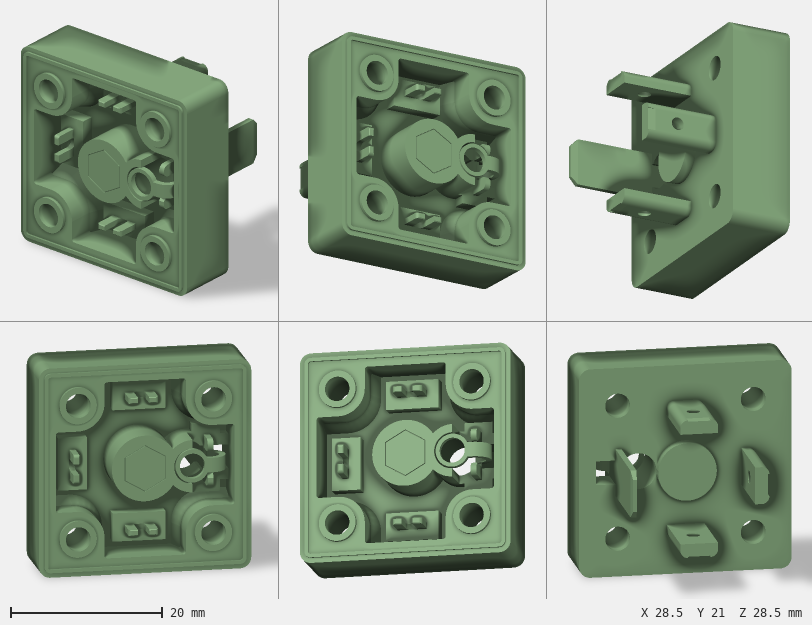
import cadquery as cq
import math


SIDE = 28.5
CORNER_RADIUS = 1.5
HOUSING_DEPTH = 8.5
LIP_INSET = 0.68
LIP_WIDTH = 0.48
LIP_HEIGHT = 0.3
BACK_BOSS_DIAMETER = 7.87
BACK_BOSS_HEIGHT = 1.5

SCREW_PITCH = 18.18
SCREW_HOLE_DIAMETER = 3.3
COLLAR_DIAMETER = 5.0
COLLAR_HEIGHT = 0.5

CAVITY_SIZE = 24.0
FLOOR_DEPTH = 2.5
POST_RADIUS = 3.62
FLARE_DEPTH = 4.87
FLARE_WIDTH = 0.83
CAVITY_CORNER_RADIUS = 0.37

COLUMN_DIAMETER = 8.95
HEX_ACROSS_FLATS = 5.5
HEX_GROOVE_WIDTH = 0.1
HEX_HALF_CORNER_ANGLE = 30
HEX_GROOVE_DEPTH = 0.28

PLATFORM_DEPTH = 4.3
PLATFORM_LENGTH = 7.12
PLATFORM_WIDTH = 3.85
PLATFORM_OFFSET = 8.95

RING_X = 6.35
RING_POST_RADIUS = 3.55
RING_WELL_DIAMETER = 4.9
EARTH_SEAT_LEFT = 7.05
EARTH_SEAT_HEIGHT = 9.3
SEAT_NOTCH_WIDTH = 1.15
SEAT_NOTCH_HEIGHT = 1.57
RIBBON_SLOT_HEIGHT = 3.25

CONTACT_OFFSET = 9.0
BLADE_THICKNESS = 0.8
PRONG_TIP_DEPTH = 7.5

PIN_ANGLES = (0, 90, 180)
PIN_LENGTH = 10.0
PIN_WIDTH = 5.05
PIN_THICKNESS = 1.9
PIN_EDGE_RADIUS = 1.0
PIN_LEAD_LENGTH = 1.0
PIN_LEAD_DROP = 0.17
PIN_HOLE_DIAMETER = 1.77
PIN_HOLE_FROM_TIP = 4.33
PIN_BLADE_WIDTH = 4.0
PIN_FORK_GAP = 1.48
PIN_FORK_DEPTH = 3.48
PIN_FORK_ARC_RISE = 0.63
PRONG_CORNER_RADIUS = 0.45
PRONG_TIP_BEVEL = 0.1

EARTH_LENGTH = 12.0
EARTH_WIDTH = 6.4
EARTH_TIP_CHAMFER = 1.0
EARTH_TIP_THINNING = 0.15
EARTH_FORK_GAP = 2.95
EARTH_FORK_BOTTOM = 4.55
EARTH_PRONG_RADIUS = 0.7
EARTH_PRONG_CHAMFER = 0.5
RING_DIAMETER = 4.5
RING_HOLE_DIAMETER = 3.4
RIBBON_WIDTH = 1.97
RIBBON_LOOP_X = 8.95
RIBBON_LOOP_RADIUS = 2.22

CAVITY_HALF = CAVITY_SIZE / 2
HALF_BLADE = BLADE_THICKNESS / 2


def facing_front(depth=0.0):
    """Workplane across the part at a depth; extruding it goes towards the front."""
    return cq.Workplane("XZ", origin=(0, -depth, 0))


def rounded_block(plane, side, depth, radius):
    return plane.rect(side, side).extrude(depth).edges("|Y").fillet(radius)


def cross_prism(bottom, top, flare):
    """Cross between two depths; its corner posts recede by the flare towards the bottom."""
    height = top - bottom
    flare_angle = math.degrees(math.atan(flare / height))
    post_edge = SCREW_PITCH / 2 - POST_RADIUS
    post_side = 2 * (CAVITY_HALF - post_edge)
    post_centre = post_edge + post_side / 2
    post_outline = cq.Sketch().rect(post_side, post_side).vertices().fillet(POST_RADIUS)
    cross = facing_front(bottom).rect(CAVITY_SIZE, CAVITY_SIZE).extrude(height)
    for x_sign in (-1, 1):
        for z_sign in (-1, 1):
            post_plane = facing_front(top).center(x_sign * post_centre, z_sign * post_centre)
            post = post_plane.placeSketch(post_outline).extrude(-height, taper=-flare_angle)
            cross = cross.cut(post)
    return cross


def make_cavity():
    def at_arm_end(edge):
        middle = edge.Center()
        return max(abs(middle.x), abs(middle.z)) > CAVITY_HALF - CAVITY_CORNER_RADIUS

    straight = cross_prism(FLARE_DEPTH, HOUSING_DEPTH, 0)
    straight = straight.edges("|Y").filter(at_arm_end).fillet(CAVITY_CORNER_RADIUS)
    return straight.union(cross_prism(FLOOR_DEPTH, FLARE_DEPTH, FLARE_WIDTH))


def add_lip(housing):
    outer_side = SIDE - 2 * LIP_INSET
    inner_side = outer_side - 2 * LIP_WIDTH
    outer_radius = CORNER_RADIUS - LIP_INSET
    front = facing_front(HOUSING_DEPTH)
    lip = rounded_block(front, outer_side, LIP_HEIGHT, outer_radius)
    lip = lip.cut(rounded_block(front, inner_side, LIP_HEIGHT, outer_radius - LIP_WIDTH))
    return housing.union(lip)


def add_central_column(housing):
    column = facing_front().circle(COLUMN_DIAMETER / 2).extrude(HOUSING_DEPTH)
    corners_per_flats = 1 / math.cos(math.radians(HEX_HALF_CORNER_ANGLE))
    outer_diameter = HEX_ACROSS_FLATS * corners_per_flats
    inner_diameter = (HEX_ACROSS_FLATS - 2 * HEX_GROOVE_WIDTH) * corners_per_flats
    groove = (
        facing_front(HOUSING_DEPTH)
        .transformed(rotate=(0, 0, HEX_HALF_CORNER_ANGLE))
        .polygon(6, outer_diameter)
        .polygon(6, inner_diameter)
        .extrude(-HEX_GROOVE_DEPTH)
    )
    back_boss = facing_front().circle(BACK_BOSS_DIAMETER / 2).extrude(-BACK_BOSS_HEIGHT)
    return housing.union(column).cut(groove).union(back_boss)


def add_pin_platforms(housing):
    for angle in PIN_ANGLES:
        plane = facing_front().transformed(rotate=(0, 0, angle))
        platform = plane.center(0, PLATFORM_OFFSET).rect(PLATFORM_LENGTH, PLATFORM_WIDTH)
        housing = housing.union(platform.extrude(PLATFORM_DEPTH))
        slot = plane.center(0, CONTACT_OFFSET).rect(PIN_BLADE_WIDTH, BLADE_THICKNESS)
        housing = housing.cut(slot.extrude(PLATFORM_DEPTH))
    return housing


def add_earth_seat(housing):
    ring_post = facing_front().center(RING_X, 0).circle(RING_POST_RADIUS).extrude(HOUSING_DEPTH)
    ring_post = ring_post.intersect(
        facing_front().center(RING_X - RING_POST_RADIUS, 0)
        .rect(2 * RING_POST_RADIUS, 2 * RING_POST_RADIUS).extrude(HOUSING_DEPTH)
    )
    half_height = EARTH_SEAT_HEIGHT / 2
    notch_left = CAVITY_HALF - SEAT_NOTCH_WIDTH
    notch_bottom = half_height - SEAT_NOTCH_HEIGHT
    seat = (
        facing_front()
        .moveTo(RING_X, 0)
        .lineTo(RING_X, RING_POST_RADIUS)
        .lineTo(EARTH_SEAT_LEFT, RING_POST_RADIUS)
        .lineTo(EARTH_SEAT_LEFT, half_height)
        .lineTo(notch_left, half_height)
        .lineTo(notch_left, notch_bottom)
        .lineTo(CAVITY_HALF, notch_bottom)
        .lineTo(CAVITY_HALF, 0)
        .mirrorX()
        .extrude(PLATFORM_DEPTH)
    )
    well = (
        facing_front(-BACK_BOSS_HEIGHT).center(RING_X, 0)
        .circle(RING_WELL_DIAMETER / 2).extrude(BACK_BOSS_HEIGHT + HOUSING_DEPTH)
    )
    ribbon_slot = (
        facing_front().center((RING_X + CAVITY_HALF) / 2, 0)
        .rect(CAVITY_HALF - RING_X, RIBBON_SLOT_HEIGHT).extrude(PLATFORM_DEPTH)
    )
    blade_slot = (
        facing_front().center(CONTACT_OFFSET, 0)
        .rect(BLADE_THICKNESS, EARTH_WIDTH).extrude(PLATFORM_DEPTH)
    )
    return housing.union(ring_post).union(seat).cut(well).cut(ribbon_slot).cut(blade_slot)


def add_screw_holes(housing):
    places = facing_front(HOUSING_DEPTH).rect(SCREW_PITCH, SCREW_PITCH, forConstruction=True).vertices()
    collars = places.circle(COLLAR_DIAMETER / 2).extrude(COLLAR_HEIGHT)
    holes = (
        facing_front().rect(SCREW_PITCH, SCREW_PITCH, forConstruction=True).vertices()
        .circle(SCREW_HOLE_DIAMETER / 2).extrude(HOUSING_DEPTH + COLLAR_HEIGHT)
    )
    return housing.union(collars).cut(holes)


def make_housing():
    housing = rounded_block(facing_front(), SIDE, HOUSING_DEPTH, CORNER_RADIUS)
    housing = housing.cut(make_cavity())
    housing = add_lip(housing)
    housing = add_central_column(housing)
    housing = add_pin_platforms(housing)
    housing = add_earth_seat(housing)
    return add_screw_holes(housing)


def make_pin(angle):
    """Forked pin, shaped at the top of the housing and then turned about Y."""
    outer_face = CONTACT_OFFSET + HALF_BLADE
    shank = (
        facing_front().center(0, outer_face - PIN_THICKNESS / 2)
        .rect(PIN_WIDTH, PIN_THICKNESS).extrude(-PIN_LENGTH)
        .edges("|Y and >Z").fillet(PIN_EDGE_RADIUS)
    )
    ramp = (
        cq.Workplane("YZ")
        .moveTo(PIN_LENGTH - PIN_LEAD_LENGTH, outer_face)
        .lineTo(PIN_LENGTH, outer_face)
        .lineTo(PIN_LENGTH, outer_face - PIN_LEAD_DROP)
        .close()
        .extrude(PIN_WIDTH / 2 - PIN_EDGE_RADIUS, both=True)
    )
    cross_hole = (
        cq.Workplane("XY").center(0, PIN_LENGTH - PIN_HOLE_FROM_TIP)
        .circle(PIN_HOLE_DIAMETER / 2).extrude(outer_face)
    )
    rounded_end = (
        facing_front().center(0, CONTACT_OFFSET)
        .rect(PIN_BLADE_WIDTH, BLADE_THICKNESS).extrude(PRONG_TIP_DEPTH)
        .edges("|Z and <Y").fillet(PRONG_CORNER_RADIUS)
    )
    blade = (
        facing_front().center(0, CONTACT_OFFSET)
        .rect(PIN_BLADE_WIDTH, BLADE_THICKNESS).extrude(PRONG_TIP_DEPTH)
        .faces("<Y").edges("|X").chamfer(PRONG_TIP_BEVEL)
        .intersect(rounded_end)
    )
    half_gap = PIN_FORK_GAP / 2
    fork_bottom = -PRONG_TIP_DEPTH + PIN_FORK_DEPTH
    arc_start = fork_bottom - PIN_FORK_ARC_RISE
    fork = (
        cq.Workplane("XY", origin=(0, 0, CONTACT_OFFSET))
        .moveTo(-half_gap, -PRONG_TIP_DEPTH)
        .lineTo(-half_gap, arc_start)
        .threePointArc((0, fork_bottom), (half_gap, arc_start))
        .lineTo(half_gap, -PRONG_TIP_DEPTH)
        .close()
        .extrude(HALF_BLADE, both=True)
    )
    pin = shank.cut(ramp).cut(cross_hole).union(blade.cut(fork))
    return pin.rotate((0, 0, 0), (0, 1, 0), -angle)


def make_earth_blade():
    half_width = EARTH_WIDTH / 2
    half_fork = EARTH_FORK_GAP / 2
    upper_radius = (half_width - half_fork) / 2
    upper_middle = (half_width + half_fork) / 2
    upper_start = -PRONG_TIP_DEPTH + upper_radius
    chamfer_start = -PRONG_TIP_DEPTH + EARTH_PRONG_CHAMFER
    rounding_start = -PRONG_TIP_DEPTH + EARTH_PRONG_RADIUS
    shoulder = EARTH_LENGTH - EARTH_TIP_CHAMFER
    face = (
        cq.Workplane("YZ", origin=(CONTACT_OFFSET, 0, 0))
        .moveTo(EARTH_LENGTH, half_width - EARTH_TIP_CHAMFER)
        .lineTo(shoulder, half_width)
        .lineTo(upper_start, half_width)
        .threePointArc((-PRONG_TIP_DEPTH, upper_middle), (upper_start, half_fork))
        .lineTo(-EARTH_FORK_BOTTOM, half_fork)
        .lineTo(-EARTH_FORK_BOTTOM, -half_fork)
        .lineTo(chamfer_start, -half_fork)
        .lineTo(-PRONG_TIP_DEPTH, -half_fork - EARTH_PRONG_CHAMFER)
        .lineTo(-PRONG_TIP_DEPTH, -half_width + EARTH_PRONG_RADIUS)
        .tangentArcPoint((rounding_start, -half_width), relative=False)
        .lineTo(shoulder, -half_width)
        .lineTo(EARTH_LENGTH, -half_width + EARTH_TIP_CHAMFER)
        .close()
        .extrude(HALF_BLADE, both=True)
    )
    thin = HALF_BLADE - EARTH_TIP_THINNING
    thickness = (
        cq.Workplane("XY", origin=(CONTACT_OFFSET, 0, 0))
        .moveTo(-HALF_BLADE, -PRONG_TIP_DEPTH)
        .lineTo(HALF_BLADE, -PRONG_TIP_DEPTH)
        .lineTo(HALF_BLADE, shoulder)
        .lineTo(thin, EARTH_LENGTH)
        .lineTo(-thin, EARTH_LENGTH)
        .lineTo(-HALF_BLADE, shoulder)
        .close()
        .extrude(half_width, both=True)
    )
    return face.intersect(thickness)


def make_earth_ribbon():
    """Strip that leaves the blade outwards and loops back in a half circle to the ring."""
    path_radius = RIBBON_LOOP_RADIUS - HALF_BLADE
    ring_y = -HOUSING_DEPTH + HALF_BLADE
    ring_edge_x = RING_X + RING_HOLE_DIAMETER / 2
    loop_middle = (RIBBON_LOOP_X + path_radius, ring_y + path_radius)
    loop_end = (RIBBON_LOOP_X, ring_y + 2 * path_radius)
    path = (
        cq.Workplane("XY")
        .moveTo(ring_edge_x, ring_y)
        .lineTo(RIBBON_LOOP_X, ring_y)
        .threePointArc(loop_middle, loop_end)
    )
    section = cq.Workplane("YZ", origin=(ring_edge_x, ring_y, 0)).rect(BLADE_THICKNESS, RIBBON_WIDTH)
    return section.sweep(path)


def make_earth_terminal():
    ring = facing_front(HOUSING_DEPTH).center(RING_X, 0).circle(RING_DIAMETER / 2).extrude(-BLADE_THICKNESS)
    ring_hole = (
        facing_front(HOUSING_DEPTH).center(RING_X, 0)
        .circle(RING_HOLE_DIAMETER / 2).extrude(-BLADE_THICKNESS)
    )
    return make_earth_blade().union(make_earth_ribbon()).union(ring).cut(ring_hole)


housing = make_housing()
pins = [make_pin(angle) for angle in PIN_ANGLES]
earth_terminal = make_earth_terminal()

result = cq.Compound.makeCompound(
    [
        housing.solids().val(),
        *[pin.solids().val() for pin in pins],
        earth_terminal.solids().val(),
    ]
)